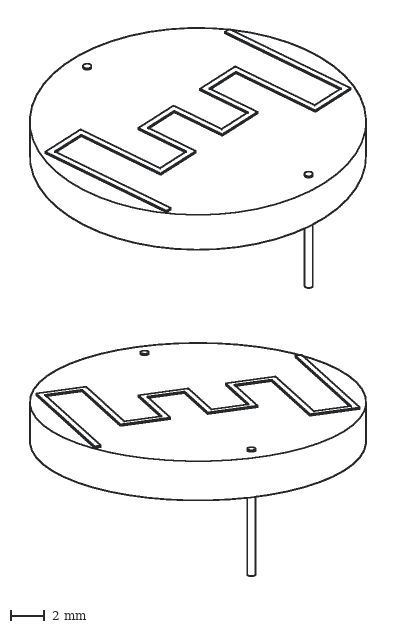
import cadquery as cq

disc_diameter = 20.0
disc_thickness = 2.5

pin_diameter = 0.5
pin_pitch = 17.5
pin_length_below = 5.4
top_projection = 0.1

track_width = 0.4
row_count = 7
row_pitch = 2.78
end_reach = 5.0
outer_right_turn = 4.38
outer_left_turn = -4.38
inner_left_turn = -1.9
inner_right_turn = 1.9


def make_disc_with_pins():
    """Disc with its two lead pins as one solid."""
    body = cq.Workplane("XY").circle(disc_diameter / 2).extrude(disc_thickness)
    pins = (
        cq.Workplane("XY", origin=(0, 0, -pin_length_below))
        .pushPoints([(-pin_pitch / 2, 0), (pin_pitch / 2, 0)])
        .circle(pin_diameter / 2)
        .extrude(pin_length_below + disc_thickness + top_projection)
    )
    return body.union(pins)


def track_bar(x_start, x_end, y_start, y_end):
    """Rectangular bar of the track, reaching half a track width beyond its centreline."""
    return (
        cq.Workplane("XY", origin=((x_start + x_end) / 2, (y_start + y_end) / 2, disc_thickness))
        .rect(abs(x_end - x_start) + track_width, abs(y_end - y_start) + track_width)
        .extrude(top_projection)
    )


def make_track():
    """Meander of straight rows, joined at alternate ends from +Y to -Y."""
    free_end = end_reach - track_width / 2
    stops = [
        -free_end,
        outer_right_turn,
        inner_left_turn,
        inner_right_turn,
        inner_left_turn,
        inner_right_turn,
        outer_left_turn,
        free_end,
    ]
    first_row_y = row_pitch * (row_count - 1) / 2
    track = track_bar(stops[0], stops[1], first_row_y, first_row_y)
    for row in range(1, row_count):
        y = first_row_y - row * row_pitch
        turn_x = stops[row]
        track = track.union(track_bar(turn_x, turn_x, y + row_pitch, y))
        track = track.union(track_bar(turn_x, stops[row + 1], y, y))
    return track.clean()


disc_with_pins = make_disc_with_pins()
track = make_track()

result = cq.Compound.makeCompound([disc_with_pins.val(), track.val()])